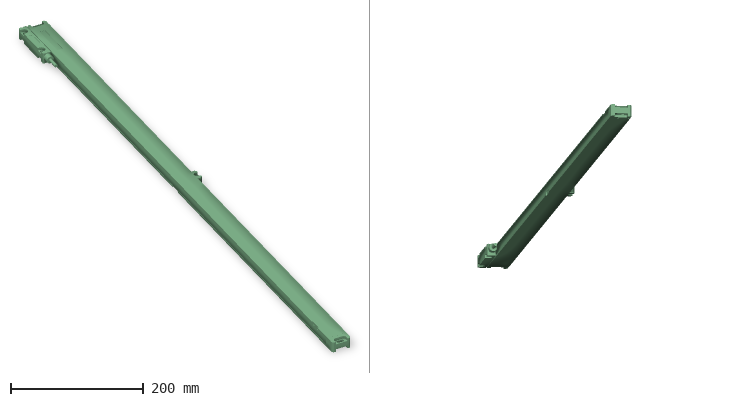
import cadquery as cq


total_length = 975.0
total_width = 54.0
height = 18.0

profile_width = 32.0
left_cap_length = 12.0
right_cap_length = 15.0
cap_chamfer = 2.5
cap_step = 0.1
lip_height = 2.5
track_depth = 1.0
track_end_margin = 20.0
cap_seat_width = 20.0
cap_seat_length = 9.0
cap_slot_length = 12.0

label_start = 24.0
label_length = 56.0
label_width = 9.0
label_center_y = 14.0
label_depth = 0.4

notch_length = 18.0
notch_height = 5.0
notch_depth = 1.5
lower_notch_x = 474.0
upper_notch_x = 919.0

lug_projection = 8.0
lug_length = 21.0
lug_chamfer = 2.5
lug_seat_diameter = 10.0
lug_center_x = lower_notch_x + 2.0
lug_foot_depth = 2.0
lug_groove_size = 0.4

seat_depth = 4.5
screw_hole_diameter = 5.0

head_gap = 1.0
head_length = 79.0
head_front_y = profile_width + lug_projection - total_width
head_width = -head_gap - head_front_y
head_center_y = -head_gap - head_width / 2
head_chamfer = 1.0
head_seat_diameter = 11.0
head_seat_y = head_front_y + 4.0
head_seat_positions = (11.5, 67.0)
head_panel_start = 26.0
head_panel_length = 31.0
head_panel_width = 7.5
head_panel_depth = 0.4
head_end_notch_width = 4.5
head_end_notch_height = 4.5
head_end_notch_depth = 1.0

cable_z = 10.5
cable_y = -7.0
gland_diameter = 12.0
gland_length = 10.0
cable_diameter = 5.0
cable_end_x = 107.0


def block(x_start, x_end, y_start, y_end, z_start, z_end):
    """Box given by its limits along each axis."""
    return cq.Workplane("XY").box(
        x_end - x_start, y_end - y_start, z_end - z_start, centered=False
    ).translate((x_start, y_start, z_start))


def upright_cylinder(x, y, diameter):
    """Full-height cylinder along Z."""
    return cq.Workplane("XY").center(x, y).circle(diameter / 2).extrude(height)


def middle_web():
    """Layer left standing between the upper and lower screw seats."""
    return block(-total_length, 2 * total_length, -total_width, total_width,
                 seat_depth, height - seat_depth)


def sink_screw_seat(body, seat, hole):
    """Sink a seat shape from above and below and cut the screw hole through."""
    return body.cut(seat.cut(middle_web())).cut(hole)


def end_cap(x_start, x_end, outer_selector):
    """End cap, slightly stepped in from the profile, with chamfered outer corners."""
    cap = block(x_start, x_end, cap_step, profile_width - cap_step,
                cap_step, height - cap_step)
    return cap.faces(outer_selector).edges("|Z").chamfer(cap_chamfer)


def cap_seat(x_outer, inward):
    """Round-cornered seat shape open to the outer end of a cap."""
    x_inner = x_outer + inward * cap_seat_length
    y_center = profile_width / 2
    seat = block(min(x_outer, x_inner), max(x_outer, x_inner),
                 y_center - cap_seat_width / 2, y_center + cap_seat_width / 2, 0, height)
    inner_selector = ">X" if inward > 0 else "<X"
    return seat.faces(inner_selector).edges("|Z").fillet(cap_seat_length / 3)


def screw_slot(x):
    """Full-height screw slot, long in Y, at the middle of a cap."""
    outline = cq.Workplane("XY").center(x, profile_width / 2)
    return outline.slot2D(cap_slot_length, screw_hole_diameter, 90).extrude(height)


def support_lug():
    """Rear lug with a screw seat open to the rear and a foot set into the profile."""
    rear_y = profile_width + lug_projection
    lug = block(lug_center_x - lug_length / 2, lug_center_x + lug_length / 2,
                profile_width - lug_foot_depth, rear_y, 0, height)
    lug = lug.faces(">Y").edges("|Z").chamfer(lug_chamfer)
    seat_y = profile_width + lug_projection / 2
    seat = upright_cylinder(lug_center_x, seat_y, lug_seat_diameter)
    seat = seat.union(block(lug_center_x - lug_seat_diameter / 2, lug_center_x + lug_seat_diameter / 2,
                            seat_y, rear_y, 0, height))
    return sink_screw_seat(lug, seat, upright_cylinder(lug_center_x, seat_y, screw_hole_diameter))


def build_scale():
    """Profile, end caps and support lug as one solid."""
    profile_end = total_length - right_cap_length
    scale = block(left_cap_length, profile_end, 0, profile_width, 0, height)

    scale = scale.cut(block(left_cap_length, total_length - track_end_margin, 0, track_depth,
                            lip_height, height - lip_height))

    for notch_x, notch_z in ((lower_notch_x, 0), (upper_notch_x, height - notch_height)):
        scale = scale.cut(block(notch_x - notch_length / 2, notch_x + notch_length / 2,
                                0, notch_depth, notch_z, notch_z + notch_height))

    scale = scale.cut(block(label_start, label_start + label_length,
                            label_center_y - label_width / 2, label_center_y + label_width / 2,
                            height - label_depth, height))

    groove_half_length = lug_length / 2 + lug_groove_size
    scale = scale.cut(block(lug_center_x - groove_half_length, lug_center_x + groove_half_length,
                            profile_width - lug_foot_depth, profile_width,
                            height - lug_groove_size, height))
    scale = scale.union(support_lug())

    caps = ((0, left_cap_length, "<X", 0, 1),
            (profile_end, total_length, ">X", total_length, -1))
    for x_start, x_end, outer_selector, x_outer, inward in caps:
        cap = end_cap(x_start, x_end, outer_selector)
        slot = screw_slot(x_outer + inward * cap_seat_length / 2)
        cap = sink_screw_seat(cap, cap_seat(x_outer, inward), slot)
        scale = scale.union(cap)
    return scale


def build_head():
    """Reading head in front of the scale, with its gland and cable."""
    head = block(0, head_length, head_front_y, -head_gap, 0, height)
    head = head.edges("|Z").chamfer(head_chamfer)

    for seat_x in head_seat_positions:
        seat = upright_cylinder(seat_x, head_seat_y, head_seat_diameter)
        seat = seat.union(block(seat_x - head_seat_diameter / 2, seat_x + head_seat_diameter / 2,
                                head_front_y, head_seat_y, 0, height))
        head = sink_screw_seat(head, seat, upright_cylinder(seat_x, head_seat_y, screw_hole_diameter))

    head = head.cut(block(head_panel_start, head_panel_start + head_panel_length,
                          head_center_y - head_panel_width / 2, head_center_y + head_panel_width / 2,
                          height - head_panel_depth, height))

    head = head.cut(block(0, head_end_notch_depth,
                          head_center_y - head_end_notch_width / 2, head_center_y + head_end_notch_width / 2,
                          height - head_end_notch_height, height))

    outlet = cq.Workplane("YZ", origin=(head_length, cable_y, cable_z))
    gland = outlet.circle(gland_diameter / 2).extrude(gland_length)
    cable = outlet.circle(cable_diameter / 2).extrude(cable_end_x - head_length)
    return head.union(gland).union(cable)


scale = build_scale()
head = build_head()
result = cq.Compound.makeCompound([scale.val(), head.val()])